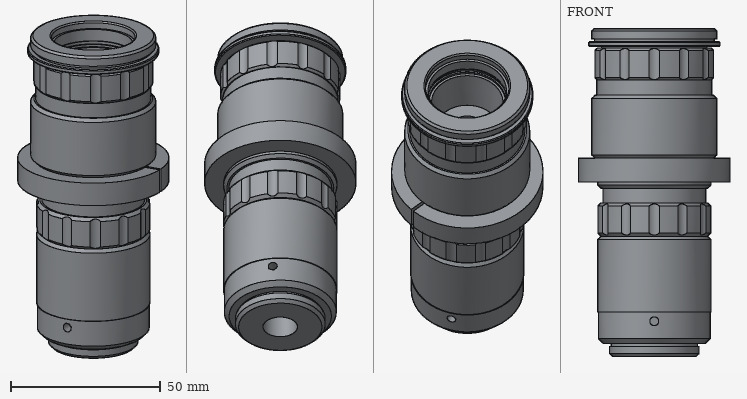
import cadquery as cq
import math

TOTAL_HEIGHT = 110.0
CHAMFER = 1.1
FLUTE_COUNT = 12
FLUTE_DIAMETER = 5.6
FLUTE_CHORD = 3.5

CAP_RADIUS = 21.0
CAP_BOTTOM = 106.6
CAP_CHAMFER = 0.8
CAP_NECK_RADIUS = 20.1

RIM_RADIUS = 44.1 / 2
RIM_TOP = 105.6
RIM_THICKNESS = 1.6
RIM_BOTTOM = RIM_TOP - RIM_THICKNESS
RIM_CHAMFER = 0.3

UPPER_GRIP_RADIUS = 20.0
UPPER_GRIP_SEAT_RADIUS = 35.5 / 2
UPPER_GRIP_TOP = 103.5
UPPER_GRIP_BOTTOM = 92.7
UPPER_GRIP_CHAMFER = 0.9

UPPER_NECK_RADIUS = 19.4
UPPER_BARREL_RADIUS = CAP_RADIUS
UPPER_BARREL_TOP = 87.7
UPPER_BARREL_BOTTOM = 66.5

FLANGE_RADIUS = 25.4
FLANGE_THICKNESS = 8.0
FLANGE_BOTTOM = UPPER_BARREL_BOTTOM - FLANGE_THICKNESS
FLANGE_SLIT = 1.0
FLANGE_SEAT_RADIUS = 19.0
FLANGE_SEAT_BOTTOM = 56.4

LOWER_NECK_RADIUS = 17.3
LOWER_GRIP_RADIUS = FLANGE_SEAT_RADIUS
LOWER_GRIP_TOP = 51.6
LOWER_GRIP_BOTTOM = 40.4
LOWER_BARREL_RADIUS = FLANGE_SEAT_RADIUS

COLLAR_RADIUS = 18.8
COLLAR_TOP = 15.0
COLLAR_BOTTOM = 4.4
COLLAR_CHAMFER = 1.6
SCREW_HOLE_COUNT = 3
FIRST_SCREW_ANGLE = -90
SCREW_HOLE_DIAMETER = 3.0
SCREW_HOLE_DEPTH = 4.4
SCREW_HOLE_Z = 11.9
FOOT_GROOVE_RADIUS = 29.0 / 2
FOOT_RADIUS = 15.1
FOOT_TOP = 3.4
FOOT_CHAMFER = 1.1

MOUTH_RADIUS = 29.0 / 2
MOUTH_BORE_RADIUS = 28.0 / 2
MOUTH_BORE_DEPTH = 2.5
SECOND_BORE_RADIUS = 26.3 / 2
SECOND_BORE_DEPTH = 6.7
GROOVE_RADIUS = 27.0 / 2
GROOVE_DEPTH = 7.8
THIRD_BORE_RADIUS = 12.9
THIRD_BORE_DEPTH = 8.6
CONE_TOP_RADIUS = 24.0 / 2
CONE_BOTTOM_RADIUS = 10.6
CONE_DEPTH = 22.0
THROUGH_RADIUS = 11.5 / 2


def revolved(points):
    """Solid of revolution about Z from (radius, z) points."""
    return cq.Workplane("XZ").polyline(points).close().revolve(360, (0, 0, 0), (0, 1, 0))


def cylinder(radius, bottom, top):
    return cq.Workplane("XY").workplane(offset=bottom).circle(radius).extrude(top - bottom)


def build_grip_ring(radius, seat_radius, bottom, top, chamfer):
    """Chamfered ring with round flutes spaced evenly around it."""
    ring = cylinder(radius, bottom, top).faces("<Z or >Z").chamfer(chamfer)
    flute_radius = FLUTE_DIAMETER / 2
    half_chord = FLUTE_CHORD / 2
    flute_offset = math.sqrt(radius**2 - half_chord**2) + math.sqrt(flute_radius**2 - half_chord**2)
    flutes = (
        cq.Workplane("XY")
        .workplane(offset=bottom)
        .polarArray(flute_offset, 0, 360, FLUTE_COUNT)
        .circle(flute_radius)
        .extrude(top - bottom)
    )
    return ring.cut(flutes).cut(cylinder(seat_radius, bottom, top))


def stepped_bore():
    """Void inside the housing, narrowing downward to the through hole."""
    mouth_chamfer = MOUTH_RADIUS - MOUTH_BORE_RADIUS
    steps = [
        (MOUTH_BORE_RADIUS, mouth_chamfer, MOUTH_BORE_DEPTH),
        (SECOND_BORE_RADIUS, MOUTH_BORE_DEPTH, SECOND_BORE_DEPTH),
        (GROOVE_RADIUS, SECOND_BORE_DEPTH, GROOVE_DEPTH),
        (THIRD_BORE_RADIUS, GROOVE_DEPTH, THIRD_BORE_DEPTH),
    ]
    points = [(0, TOTAL_HEIGHT), (MOUTH_RADIUS, TOTAL_HEIGHT)]
    for radius, start_depth, end_depth in steps:
        points.append((radius, TOTAL_HEIGHT - start_depth))
        points.append((radius, TOTAL_HEIGHT - end_depth))
    points += [
        (CONE_TOP_RADIUS, TOTAL_HEIGHT - THIRD_BORE_DEPTH),
        (CONE_BOTTOM_RADIUS, TOTAL_HEIGHT - CONE_DEPTH),
        (THROUGH_RADIUS, TOTAL_HEIGHT - CONE_DEPTH),
        (THROUGH_RADIUS, 0),
        (0, 0),
    ]
    return revolved(points)


def screw_hole(angle):
    """Radial blind hole entering the collar at the given angle from +X."""
    hole = (
        cq.Workplane("YZ")
        .workplane(offset=COLLAR_RADIUS - SCREW_HOLE_DEPTH)
        .center(0, SCREW_HOLE_Z)
        .circle(SCREW_HOLE_DIAMETER / 2)
        .extrude(2 * SCREW_HOLE_DEPTH)
    )
    return hole.rotate((0, 0, 0), (0, 0, 1), angle)


def build_housing():
    cap = cylinder(CAP_RADIUS, CAP_BOTTOM, TOTAL_HEIGHT).faces(">Z").chamfer(CAP_CHAMFER)
    cap_neck = cylinder(CAP_NECK_RADIUS, RIM_TOP, CAP_BOTTOM)
    rim = cylinder(RIM_RADIUS, RIM_BOTTOM, RIM_TOP).faces("<Z or >Z").chamfer(RIM_CHAMFER)
    upper_grip_seat = cylinder(UPPER_GRIP_SEAT_RADIUS, UPPER_GRIP_BOTTOM, RIM_BOTTOM)
    upper_neck = cylinder(UPPER_NECK_RADIUS, UPPER_BARREL_TOP, UPPER_GRIP_BOTTOM)
    upper_barrel = cylinder(UPPER_BARREL_RADIUS, UPPER_BARREL_BOTTOM, UPPER_BARREL_TOP)
    upper_barrel = upper_barrel.faces("<Z or >Z").chamfer(CHAMFER)
    flange_seat = cylinder(FLANGE_SEAT_RADIUS, FLANGE_SEAT_BOTTOM, UPPER_BARREL_BOTTOM)
    flange_seat = flange_seat.faces("<Z").chamfer(CHAMFER)
    lower_neck = cylinder(LOWER_NECK_RADIUS, LOWER_GRIP_BOTTOM, FLANGE_SEAT_BOTTOM)
    lower_barrel = cylinder(LOWER_BARREL_RADIUS, COLLAR_TOP, LOWER_GRIP_BOTTOM)
    lower_barrel = lower_barrel.faces(">Z").chamfer(CHAMFER)
    collar = cylinder(COLLAR_RADIUS, COLLAR_BOTTOM, COLLAR_TOP).faces("<Z").chamfer(COLLAR_CHAMFER)
    foot_groove = cylinder(FOOT_GROOVE_RADIUS, FOOT_TOP, COLLAR_BOTTOM)
    foot = cylinder(FOOT_RADIUS, 0, FOOT_TOP).faces("<Z").chamfer(FOOT_CHAMFER)

    housing = cap
    for section in (cap_neck, rim, upper_grip_seat, upper_neck, upper_barrel, flange_seat,
                    lower_neck, lower_barrel, collar, foot_groove, foot):
        housing = housing.union(section)
    for index in range(SCREW_HOLE_COUNT):
        housing = housing.cut(screw_hole(FIRST_SCREW_ANGLE + index * 360 / SCREW_HOLE_COUNT))
    return housing.cut(stepped_bore())


def build_clamp_flange():
    """Ring around the seat, slit on the +X side."""
    ring = cylinder(FLANGE_RADIUS, FLANGE_BOTTOM, UPPER_BARREL_BOTTOM)
    ring = ring.cut(cylinder(FLANGE_SEAT_RADIUS, FLANGE_BOTTOM, UPPER_BARREL_BOTTOM))
    slit = cq.Workplane("XY").box(FLANGE_RADIUS, FLANGE_SLIT, FLANGE_THICKNESS, centered=(False, True, False))
    return ring.cut(slit.translate((0, 0, FLANGE_BOTTOM)))


housing = build_housing()
clamp_flange = build_clamp_flange()
upper_grip = build_grip_ring(
    UPPER_GRIP_RADIUS, UPPER_GRIP_SEAT_RADIUS, UPPER_GRIP_BOTTOM, UPPER_GRIP_TOP, UPPER_GRIP_CHAMFER
)
lower_grip = build_grip_ring(
    LOWER_GRIP_RADIUS, LOWER_NECK_RADIUS, LOWER_GRIP_BOTTOM, LOWER_GRIP_TOP, CHAMFER
)

result = cq.Compound.makeCompound(
    [housing.val(), clamp_flange.val(), upper_grip.val(), lower_grip.val()]
)